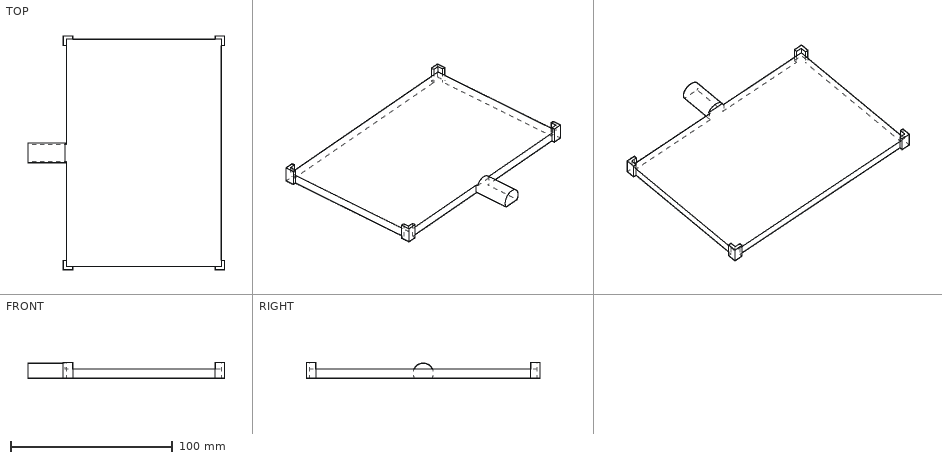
import cadquery as cq

outer_x = 100.0
outer_y = 145.0
guard_height = 10.0
guard_leg = 6.0
guard_wall = 2.0

plate_thickness = 6.0

handle_radius = 6.2
handle_top = 9.5
handle_reach = 21.9
handle_end_gap = 1.0

plate_x = outer_x - 2 * guard_wall
plate_y = outer_y - 2 * guard_wall
handle_axis_z = handle_top - handle_radius
handle_start_x = -outer_x / 2 - handle_reach
handle_length = -plate_x / 2 - handle_end_gap - handle_start_x


def make_plate():
    return cq.Workplane("XY").box(plate_x, plate_y, plate_thickness, centered=(True, True, False))


def make_guard(side_x, side_y):
    """L-shaped wall around the plate corner on the given sides (+1 or -1)."""
    center_x = side_x * (outer_x - guard_leg) / 2
    center_y = side_y * (outer_y - guard_leg) / 2
    block = (
        cq.Workplane("XY")
        .center(center_x, center_y)
        .rect(guard_leg, guard_leg)
        .extrude(guard_height)
    )
    inside = cq.Workplane("XY").rect(plate_x, plate_y).extrude(guard_height)
    return block.cut(inside)


def make_handle(length):
    """Round bar running +X from the free end, with everything below the base removed."""
    bar = (
        cq.Workplane("YZ", origin=(handle_start_x, 0, 0))
        .center(0, handle_axis_z)
        .circle(handle_radius)
        .extrude(length)
    )
    above_base = (
        cq.Workplane("XY", origin=(handle_start_x, 0, 0))
        .box(length, 2 * handle_radius, handle_top, centered=(False, True, False))
    )
    return bar.intersect(above_base)


plate_level = cq.Workplane("XY").box(
    2 * outer_x, outer_y, plate_thickness, centered=(True, True, False)
)
neck = make_handle(handle_length + handle_end_gap).intersect(plate_level)

result = make_plate().union(make_handle(handle_length)).union(neck)
for side_x in (-1, 1):
    for side_y in (-1, 1):
        result = result.union(make_guard(side_x, side_y))

result = result.translate((handle_reach / 2, 0, 0))